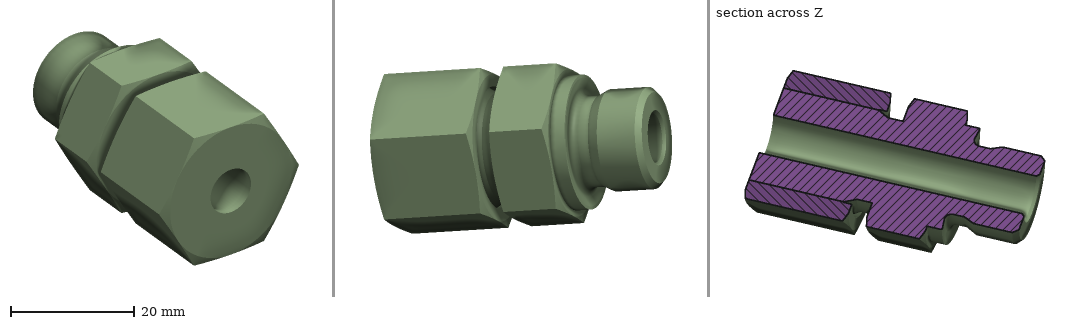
import cadquery as cq
import math


HEX_FLATS = 24.0
HEX_CORNERS = HEX_FLATS / math.cos(math.radians(30))
CHAMFER_ANGLE = 15

THREAD_END = 7.42
NECK_START = 9.25
FILLET_START = 11.05
COLLAR_START = 12.0
HEX_START = 14.5
HEX_END = 24.5
TAIL_TAPER_START = 27.0
NUT_START = 27.5
TOTAL_LENGTH = 45.0

BORE_RADIUS = 4.0
THREAD_RADIUS = 8.32
NECK_RADIUS = 7.42
COLLAR_RADIUS = 11.0
SEAL_EDGE_RADIUS = 10.5
GROOVE_RADIUS = 8.85
TAIL_RADIUS = 10.0

THREAD_CHAMFER = 0.9
BORE_CHAMFER = 0.5

NECK_FILLET = 1.15
UNDERCUT_ANGLE = 6.6

TAIL_TAPER_ANGLE = 30


def hexagon(start, end):
    """Hexagonal prism along X, flats facing +Z and -Z, both ends turned to a shallow cone."""
    length = end - start
    prism = cq.Workplane("YZ", origin=(start, 0, 0)).polygon(6, HEX_CORNERS).extrude(length)
    flat_radius = HEX_FLATS / 2
    cone_slope = math.tan(math.radians(CHAMFER_ANGLE))
    apex_radius = flat_radius + length / 2 / cone_slope
    envelope = (
        cq.Workplane("XY")
        .moveTo(start, 0)
        .lineTo(start, flat_radius)
        .lineTo((start + end) / 2, apex_radius)
        .lineTo(end, flat_radius)
        .lineTo(end, 0)
        .close()
        .revolve(360, (0, 0, 0), (1, 0, 0))
    )
    return prism.intersect(envelope)


def fillet_point(angle):
    """Point on the neck fillet; -90 degrees is where it leaves the neck."""
    turn = math.radians(angle)
    x = FILLET_START + NECK_FILLET * math.cos(turn)
    radius = NECK_RADIUS + NECK_FILLET + NECK_FILLET * math.sin(turn)
    return (x, radius)


def turned_stud():
    """Solid of revolution: stud end, neck, collar with sealing edge, groove and tail."""
    taper_length = (TAIL_RADIUS - GROOVE_RADIUS) / math.tan(math.radians(TAIL_TAPER_ANGLE))
    fillet_middle = (UNDERCUT_ANGLE - 90) / 2
    return (
        cq.Workplane("XY")
        .moveTo(0, 0)
        .lineTo(0, THREAD_RADIUS - THREAD_CHAMFER)
        .lineTo(THREAD_CHAMFER, THREAD_RADIUS)
        .lineTo(THREAD_END, THREAD_RADIUS)
        .lineTo(NECK_START, NECK_RADIUS)
        .lineTo(FILLET_START, NECK_RADIUS)
        .threePointArc(fillet_point(fillet_middle), fillet_point(UNDERCUT_ANGLE))
        .lineTo(COLLAR_START, SEAL_EDGE_RADIUS)
        .lineTo(COLLAR_START, COLLAR_RADIUS)
        .lineTo(HEX_START, COLLAR_RADIUS)
        .lineTo(HEX_START, GROOVE_RADIUS)
        .lineTo(TAIL_TAPER_START, GROOVE_RADIUS)
        .lineTo(TAIL_TAPER_START + taper_length, TAIL_RADIUS)
        .lineTo(TOTAL_LENGTH, TAIL_RADIUS)
        .lineTo(TOTAL_LENGTH, 0)
        .close()
        .revolve(360, (0, 0, 0), (1, 0, 0))
    )


def bore():
    """Through bore with a chamfered mouth at the open end."""
    return (
        cq.Workplane("XY")
        .moveTo(0, 0)
        .lineTo(0, BORE_RADIUS + BORE_CHAMFER)
        .lineTo(BORE_CHAMFER, BORE_RADIUS)
        .lineTo(TOTAL_LENGTH, BORE_RADIUS)
        .lineTo(TOTAL_LENGTH, 0)
        .close()
        .revolve(360, (0, 0, 0), (1, 0, 0))
    )


def make_stud_body():
    return turned_stud().union(hexagon(HEX_START, HEX_END)).cut(bore())


def make_nut():
    """Hexagon nut whose plain bore fits the tail of the stud body."""
    tail_hole = (
        cq.Workplane("YZ", origin=(NUT_START, 0, 0))
        .circle(TAIL_RADIUS)
        .extrude(TOTAL_LENGTH - NUT_START)
    )
    return hexagon(NUT_START, TOTAL_LENGTH).cut(tail_hole)


stud_body = make_stud_body()
nut = make_nut()

result = cq.Compound.makeCompound([stud_body.val(), nut.val()])